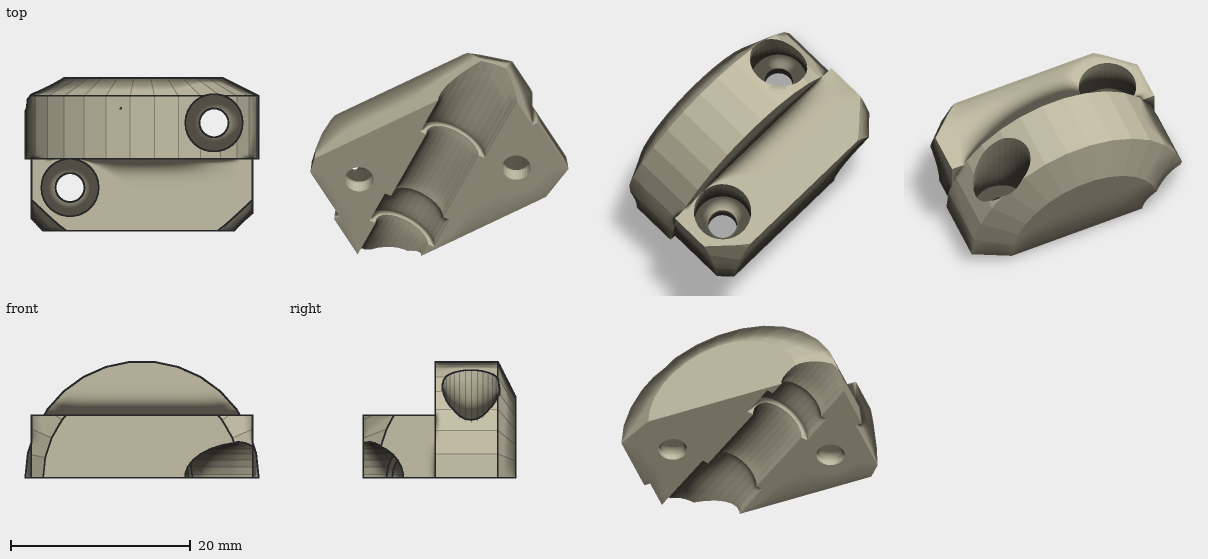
import cadquery as cq
import math

FACETS = 30

drum_radius = 13.0
drum_straight = 7.0
drum_taper = 2.0
drum_end_radius = 9.0

block_width = 24.6
block_depth = 8.0
block_height = 7.0

trim_front_radius = 11.0
trim_back_radius = 18.5

screw_x = 8.0
drum_screw_y = 4.0
hole_diameter = 3.2
head_diameter = 6.4
block_screw_y = -head_diameter / 2
head_floor_z = 2.0

channel_angle = 35.0
channel_y = 0.2
channel_radius = 3.25
wide_radius = 4.0
front_wide_start = 4.0
back_groove_near = 5.05
back_groove_far = 9.0
back_wide_start = 14.1

overshoot = 2 * drum_radius


def frustum_y(y_front, y_back, front_radius, back_radius):
    """Faceted frustum about the Y axis."""
    return (
        cq.Workplane("XZ", origin=(0, y_front, 0))
        .polygon(FACETS, 2 * front_radius)
        .workplane(offset=y_front - y_back)
        .polygon(FACETS, 2 * back_radius)
        .loft(ruled=True)
    )


def make_drum():
    straight = frustum_y(0, drum_straight, drum_radius, drum_radius)
    taper = frustum_y(drum_straight, drum_straight + drum_taper, drum_radius, drum_end_radius)
    upper_half = cq.Workplane("XY").box(
        2 * overshoot, 2 * overshoot, overshoot, centered=(True, True, False)
    )
    return straight.union(taper).intersect(upper_half)


def make_block():
    block = (
        cq.Workplane("XY", origin=(0, -block_depth / 2, 0))
        .box(block_width, block_depth, block_height, centered=(True, True, False))
    )
    return block.intersect(frustum_y(-block_depth, 0, trim_front_radius, trim_back_radius))


def screw_hole(x, y):
    """Through hole with a head recess open to the top."""
    shank = cq.Workplane("XY", origin=(x, y, 0)).polygon(FACETS, hole_diameter).extrude(overshoot)
    head = (
        cq.Workplane("XY", origin=(x, y, head_floor_z))
        .polygon(FACETS, head_diameter)
        .extrude(overshoot)
    )
    return shank.union(head)


def channel_bore(start, end, radius):
    """Faceted bore along the channel axis; positive distances lead to the front right."""
    angle = math.radians(channel_angle)
    axis = cq.Vector(math.cos(angle), -math.sin(angle), 0)
    origin = cq.Vector(0, channel_y, 0) + axis * start
    plane = cq.Plane(origin=origin, xDir=(0, 0, 1), normal=axis)
    return cq.Workplane(plane).polygon(FACETS, 2 * radius).extrude(end - start)


def make_channel():
    """Narrow bore, widened at both mouths and in a groove in the back half."""
    narrow = channel_bore(-overshoot, overshoot, channel_radius)
    front_mouth = channel_bore(front_wide_start, overshoot, wide_radius)
    groove = channel_bore(-back_groove_far, -back_groove_near, wide_radius)
    back_mouth = channel_bore(-overshoot, -back_wide_start, wide_radius)
    return narrow.union(front_mouth).union(groove).union(back_mouth)


result = (
    make_drum()
    .union(make_block())
    .cut(screw_hole(-screw_x, block_screw_y))
    .cut(screw_hole(screw_x, drum_screw_y))
    .cut(make_channel())
)